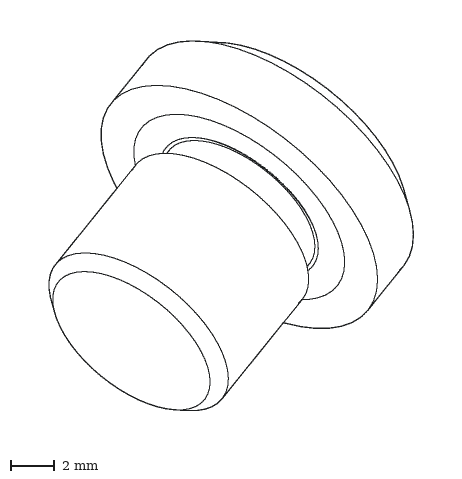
import cadquery as cq

total_length = 13.0

head_diameter = 15
head_length = 4.0
head_chamfer = 1.0

shank_diameter = 9.74
shank_length = 7.3
shank_chamfer = 0.6

neck_diameter = 8.2

ring_center_diameter = 10.0
ring_protrusion = 0.3
ring_section_radius = 1.0

head_underside = total_length - head_length


def cylinder_along_y(diameter, start, length):
    """Solid cylinder on the Y axis, growing towards +Y from start."""
    return cq.Workplane("XZ", origin=(0, start, 0)).circle(diameter / 2).extrude(-length)


def make_head():
    head = cylinder_along_y(head_diameter, head_underside, head_length)
    return head.faces(">Y").chamfer(head_chamfer)


def make_shank():
    shank = cylinder_along_y(shank_diameter, 0, shank_length)
    return shank.faces("<Y").chamfer(shank_chamfer)


def make_neck():
    neck_length = head_underside - shank_length
    return cylinder_along_y(neck_diameter, shank_length, neck_length)


def make_ring():
    ring_center_radius = ring_center_diameter / 2
    ring_center_y = head_underside - ring_protrusion + ring_section_radius
    section = cq.Workplane("XY").center(ring_center_radius, ring_center_y).circle(ring_section_radius)
    return section.revolve(360, (-ring_center_radius, 0), (-ring_center_radius, 1))


result = make_head().union(make_neck()).union(make_shank()).union(make_ring())